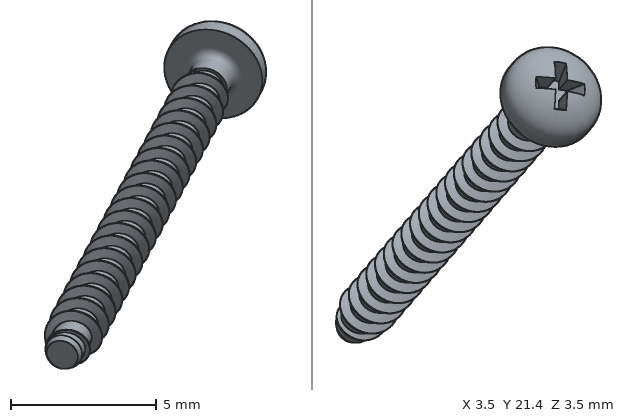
import cadquery as cq
import math

total_length = 21.35
head_height = 1.37
head_radius = 1.75
rim_height = 0.47
neck_radius = 0.75
neck_length = 0.95
neck_fillet = 0.28
core_diameter = 1.3
tip_radius = 0.55
tip_taper_length = 0.21

crest_diameter = 1.99
crest_width = 0.05
flank_angle = 15.0
root_overlap = 0.06
full_thread_top = -1.7
full_thread_length = 16.92
full_turns = 19
neck_ramp_length = 0.96
neck_ramp_radius = 0.7
tip_ramp_length = 1.2
tip_ramp_radius = 0.65

recess_radius = 0.96
recess_width = 0.43
recess_depth = 0.85
recess_wall_angle = 26.0

shank_length = total_length - head_height
cross_corner_radius = recess_width / math.sqrt(2)
dome_height = (head_height - rim_height) / math.sqrt(1 - (cross_corner_radius / head_radius) ** 2)
core_radius = core_diameter / 2
crest_radius = crest_diameter / 2
pitch = full_thread_length / full_turns
full_thread_bottom = full_thread_top - full_thread_length
ridge_height = crest_radius - core_radius + root_overlap
root_width = crest_width + 2 * ridge_height * math.tan(math.radians(flank_angle))


def make_blank():
    """Head, neck and core turned as one profile."""
    profile = (
        cq.Workplane("XZ")
        .moveTo(0, -shank_length)
        .lineTo(tip_radius, -shank_length)
        .lineTo(core_radius, tip_taper_length - shank_length)
        .lineTo(core_radius, -neck_length)
        .lineTo(neck_radius, -neck_length)
        .lineTo(neck_radius, -neck_fillet)
        .radiusArc((neck_radius + neck_fillet, 0), neck_fillet)
        .lineTo(head_radius, 0)
        .lineTo(head_radius, rim_height)
        .ellipseArc(head_radius, dome_height, 0, 90, startAtCurrent=True)
        .close()
    )
    return profile.revolve(360, (0, 0, 0), (0, 1, 0))


def make_recess():
    """Cross recess: two crossed slots kept inside a cone."""
    wall_run = recess_depth * math.tan(math.radians(recess_wall_angle))
    floor = cq.Vector(0, 0, head_height - recess_depth)
    cone = cq.Solid.makeCone(
        recess_radius - wall_run, recess_radius + wall_run, 2 * recess_depth, floor
    )
    slot = cq.Workplane("XY").box(2 * head_radius, recess_width, 2 * recess_depth)
    cross = slot.union(slot.rotate((0, 0, 0), (0, 0, 1), 90)).translate((0, 0, head_height))
    return cross.intersect(cq.Workplane(cone))


def make_ridge(height, start_radius, end_radius):
    """Helical ridge rising from z = 0 at angle 0, its crest widening from start to end radius."""
    cone_angle = math.atan2(end_radius - start_radius, height)
    slant = 1 / math.cos(cone_angle)
    helix_angle = math.degrees(cone_angle) or 360
    root_radius = start_radius - ridge_height
    corners = [
        (root_radius, -root_width / 2),
        (start_radius, -crest_width / 2),
        (start_radius, crest_width / 2),
        (root_radius, root_width / 2),
    ]
    helices = [
        cq.Wire.makeHelix(
            pitch * slant, height * slant, radius, cq.Vector(0, 0, z), angle=helix_angle
        ).Edges()[0]
        for radius, z in corners
    ]
    faces = [cq.Face.makeRuledSurface(helices[i - 1], helices[i]) for i in range(4)]
    for end in (0, 1):
        points = [helix.positionAt(end) for helix in helices]
        faces.append(cq.Face.makeFromWires(cq.Wire.makePolygon(points, close=True)))
    ridge = cq.Solid.makeSolid(cq.Shell.makeShell(faces))
    return cq.Workplane(ridge.fix())


def place_ridge(ridge, z):
    """Lift a ridge to its starting height and turn it to the common thread phase."""
    phase = 360 * (z - full_thread_top) / pitch - 90
    return ridge.rotate((0, 0, 0), (0, 0, 1), phase).translate((0, 0, z))


full_ridge = make_ridge(full_thread_length, crest_radius, crest_radius)
tip_ridge = make_ridge(tip_ramp_length, tip_ramp_radius, crest_radius)
neck_ridge = make_ridge(neck_ramp_length, neck_ramp_radius, crest_radius)
neck_ridge = neck_ridge.rotate((0, 0, 0), (1, 0, 0), 180)

screw = (
    make_blank()
    .cut(make_recess())
    .union(place_ridge(full_ridge, full_thread_bottom))
    .union(place_ridge(tip_ridge, full_thread_bottom - tip_ramp_length))
    .union(place_ridge(neck_ridge, full_thread_top + neck_ramp_length))
)

result = screw.rotate((0, 0, 0), (1, 0, 0), -90)